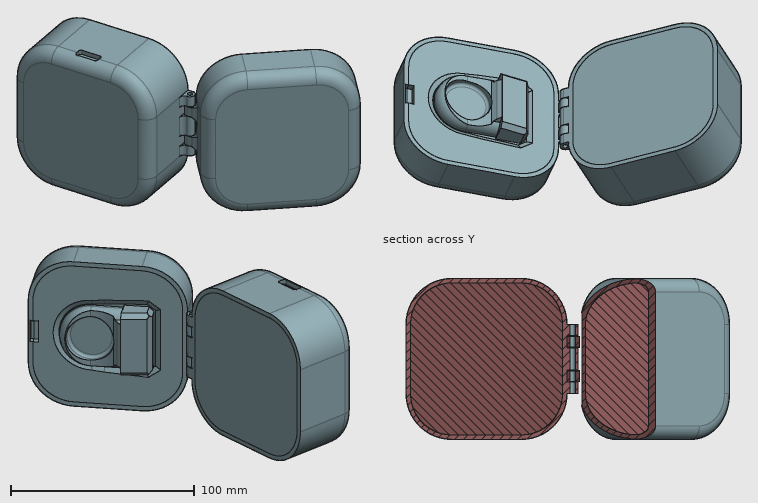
import cadquery as cq
import math


side = 87.9
corner_radius = 25.0
edge_fillet = 7.5
wall = 2.6
base_depth = 40.2
lid_depth = 25.5
open_angle = 38.85

port_length = 13.8
port_height = 5.3
port_corner = 1.2
port_from_back = 8.0

barrel_radius = 3.0
pin_hole_radius = 1.5
hinge_clearance = 0.2
arm_width = 6.0
arm_spacing = 18.7
arm_flare = 3.2
hinge_length = side - 2 * corner_radius

latch_length = 12.7
latch_width = 4.8
latch_depth = 3.5
latch_margin = 0.9

dish_center = 53.0
pocket_depth = 1.6
pocket_wall_slope = 62.0
pocket_front = 14.8
pocket_front_half = 18.4
pocket_widest = 21.5
pocket_widest_half = 23.3
pocket_shoulder = 46.0
pocket_shoulder_half = 21.9
pocket_radius = 21.2

block_start = 18.7
block_end = 35.3
block_half = 18.9
block_front_height = 8.5
block_top_tilt = 9.0
block_chamfer = 2.6
bevel_length = 2.3
bevel_bottom = 4.8
nose_radius = 17.6
flank_radius = 16.2
flank_height = 4.6
neck_height = 10.8
neck_top_half = 13.0
rim_radius = 13.8
crest_height = 6.7
crest_end = 66.5
shoulder_end = 37.6
shoulder_end_height = 8.8
scoop_start = 39.9
scoop_start_height = 5.8
scoop_middle = 44.5
scoop_middle_height = 4.5
scoop_height = 3.7
dish_radius = 13.2
dish_floor = 0.5
dish_fillet = 1.8

axis_x = side + barrel_radius
axis_y = -barrel_radius
lid_turn = math.radians(open_angle)
lid_x = axis_x + barrel_radius * (math.cos(lid_turn) + math.sin(lid_turn))
lid_y = axis_y + barrel_radius * (math.sin(lid_turn) - math.cos(lid_turn))
arm_root_height = (lid_y - axis_y + barrel_radius) / math.cos(lid_turn)


def rounded_half(depth, inset=0.0):
    """Rounded square block below the mating face, with every surface but that face inset."""
    width = side - 2 * inset
    return (
        cq.Workplane("XZ")
        .center(side / 2, 0)
        .rect(width, width)
        .extrude(depth - inset)
        .edges("|Y")
        .fillet(corner_radius - inset)
        .faces("<Y")
        .edges()
        .fillet(edge_fillet - inset)
    )


def hollow_half(depth):
    return rounded_half(depth).cut(rounded_half(depth, wall))


def open_lid(part):
    """Move a part from the lid's local frame to the open position."""
    return part.rotate((0, 0, 0), (0, 0, 1), open_angle).translate((lid_x, lid_y, 0))


def pin_hole():
    return (
        cq.Workplane("XY")
        .workplane(offset=-hinge_length / 2)
        .center(axis_x, axis_y)
        .circle(pin_hole_radius)
        .extrude(hinge_length)
    )


def knuckle(z_start, z_end):
    """Base knuckle, flush with the rim and filleted into the side wall."""
    bottom = -2 * barrel_radius
    return (
        cq.Workplane("XY")
        .workplane(offset=z_start)
        .moveTo(side, 0)
        .lineTo(axis_x, 0)
        .threePointArc((axis_x + barrel_radius, axis_y), (axis_x, bottom))
        .radiusArc((side, bottom - barrel_radius), -barrel_radius)
        .close()
        .extrude(z_end - z_start)
    )


def base_shell():
    port = (
        cq.Workplane("XY")
        .center(side / 2, port_from_back - base_depth)
        .rect(port_length, port_height)
        .extrude(side)
        .edges("|Z")
        .fillet(port_corner)
        .cut(rounded_half(base_depth, wall))
    )
    shell = hollow_half(base_depth).cut(port)
    gap_half = arm_width / 2 + hinge_clearance
    inner = arm_spacing / 2 - gap_half
    outer = arm_spacing / 2 + gap_half
    end = hinge_length / 2
    for z_start, z_end in ((-end, -outer), (-inner, inner), (outer, end)):
        shell = shell.union(knuckle(z_start, z_end))
    return shell.cut(pin_hole())


def hinge_arm(z_middle):
    """Lid arm: barrel on the pin axis, web to the lid's side face, and a flared root."""
    barrel_x = -barrel_radius
    barrel_y = barrel_radius
    low_x = barrel_x - barrel_radius * math.sin(lid_turn)
    low_y = barrel_y - barrel_radius * math.cos(lid_turn)
    barrel = cq.Workplane("XY").center(barrel_x, barrel_y).circle(barrel_radius).extrude(arm_width)
    web = (
        cq.Workplane("XY")
        .polyline([(barrel_x, barrel_y), (0, barrel_y), (0, -arm_root_height), (low_x, low_y)])
        .close()
        .extrude(arm_width)
    )
    bore = cq.Workplane("XY").center(barrel_x, barrel_y).circle(pin_hole_radius).extrude(arm_width)
    arm = barrel.union(web).cut(bore).translate((0, 0, z_middle - arm_width / 2))
    return arm.union(arm_root(z_middle))


def arm_root(z_middle):
    """Concave flare that widens the arm sideways and downwards where it meets the lid."""
    half = arm_width / 2
    plan = (
        cq.Workplane("XZ")
        .moveTo(0, half + arm_flare)
        .radiusArc((-arm_flare, half), arm_flare)
        .lineTo(-arm_flare, -half)
        .radiusArc((0, -half - arm_flare), arm_flare)
        .close()
        .extrude(arm_root_height + arm_flare)
    )
    web_x = -arm_flare * math.cos(lid_turn)
    web_y = -arm_root_height + arm_flare * math.sin(lid_turn)
    root_fillet = arm_flare * math.tan((math.pi / 2 + lid_turn) / 2)
    profile = (
        cq.Workplane("XY")
        .workplane(offset=-half - arm_flare)
        .moveTo(0, 0)
        .lineTo(-arm_flare, 0)
        .lineTo(web_x, web_y)
        .radiusArc((0, -arm_root_height - arm_flare), root_fillet)
        .close()
        .extrude(arm_width + 2 * arm_flare)
    )
    return plan.intersect(profile).translate((0, 0, z_middle))


def latch_recess():
    middle = side - latch_margin - latch_width / 2
    return cq.Workplane("XZ").center(middle, 0).rect(latch_width, latch_length).extrude(latch_depth)


def lid_shell():
    shell = hollow_half(lid_depth).cut(latch_recess())
    for z_middle in (-arm_spacing / 2, arm_spacing / 2):
        shell = shell.union(hinge_arm(z_middle))
    return open_lid(shell)


def lid_plug():
    pocket = (
        cq.Workplane("XZ")
        .moveTo(pocket_front, -pocket_front_half)
        .lineTo(pocket_widest, -pocket_widest_half)
        .lineTo(pocket_shoulder, -pocket_shoulder_half)
        .lineTo(dish_center, -pocket_radius)
        .threePointArc((dish_center + pocket_radius, 0), (dish_center, pocket_radius))
        .lineTo(pocket_shoulder, pocket_shoulder_half)
        .lineTo(pocket_widest, pocket_widest_half)
        .lineTo(pocket_front, pocket_front_half)
        .close()
        .extrude(pocket_depth, taper=pocket_wall_slope)
    )
    return open_lid(rounded_half(lid_depth, wall).cut(latch_recess()).cut(pocket))


def holder_block():
    """Block with a tilted top, chamfered down its front corners and along its top sides."""
    length = block_end - block_start
    rise = length * math.tan(math.radians(block_top_tilt))
    block = (
        cq.Workplane("XY")
        .workplane(offset=-block_half)
        .moveTo(block_start, -pocket_depth)
        .lineTo(block_start, block_front_height)
        .lineTo(block_end, block_front_height + rise)
        .lineTo(block_end, -pocket_depth)
        .close()
        .extrude(2 * block_half)
    )
    block = block.faces(">Y").edges("not |Z").chamfer(block_chamfer)
    block = block.faces("<X").edges("|Y").chamfer(block_chamfer)
    bevel_end = block_start + bevel_length
    bevel_top = block_front_height + bevel_length * math.tan(math.radians(block_top_tilt))
    bevel = (
        cq.Workplane("XY")
        .workplane(offset=-block_half)
        .moveTo(block_start, bevel_bottom)
        .lineTo(bevel_end, bevel_top)
        .lineTo(block_start, bevel_top)
        .close()
        .extrude(2 * block_half)
    )
    return block.cut(bevel)


def nose_section(plane):
    """Half section of the nose and neck, from the middle line out to the rounded flank."""
    return (
        cq.Workplane(plane)
        .moveTo(0, -pocket_depth)
        .lineTo(nose_radius, -pocket_depth)
        .lineTo(nose_radius, 0)
        .threePointArc((flank_radius, flank_height), (rim_radius, crest_height))
        .lineTo(neck_top_half, neck_height)
        .lineTo(0, neck_height)
        .close()
    )


def holder_nose():
    """Low scooped body that ends in a round nose, with a dish that leaves a raised rim."""
    side_profile = (
        cq.Workplane("XY")
        .workplane(offset=-block_half)
        .moveTo(block_end, -pocket_depth)
        .lineTo(block_end, neck_height)
        .lineTo(shoulder_end, shoulder_end_height)
        .lineTo(scoop_start, scoop_start_height)
        .threePointArc((scoop_middle, scoop_middle_height), (dish_center, scoop_height))
        .lineTo(crest_end, crest_height)
        .lineTo(dish_center + nose_radius, crest_height)
        .lineTo(dish_center + nose_radius, -pocket_depth)
        .close()
        .extrude(2 * block_half)
    )
    neck_length = dish_center - block_end
    across_neck = cq.Plane(origin=(block_end, 0, 0), xDir=(0, 0, -1), normal=(1, 0, 0))
    neck = nose_section(across_neck).extrude(neck_length)
    neck = neck.union(neck.mirror("XY"))
    round_end = nose_section("XY").revolve(360, (0, 0, 0), (0, 1, 0))
    round_end = round_end.translate((dish_center, 0, 0))
    dish = (
        cq.Workplane("XZ")
        .workplane(offset=-dish_floor)
        .center(dish_center, 0)
        .circle(dish_radius)
        .extrude(-2 * neck_height)
        .faces("<Y")
        .edges()
        .fillet(dish_fillet)
    )
    return side_profile.intersect(neck.union(round_end)).cut(dish)


def holder():
    return open_lid(holder_block().union(holder_nose()))


base = base_shell()
base_plug = rounded_half(base_depth, wall)
lid = lid_shell()
plug_with_pocket = lid_plug()
pocket_holder = holder()

result = cq.Compound.makeCompound(
    [base.val(), base_plug.val(), lid.val(), plug_with_pocket.val(), pocket_holder.val()]
)